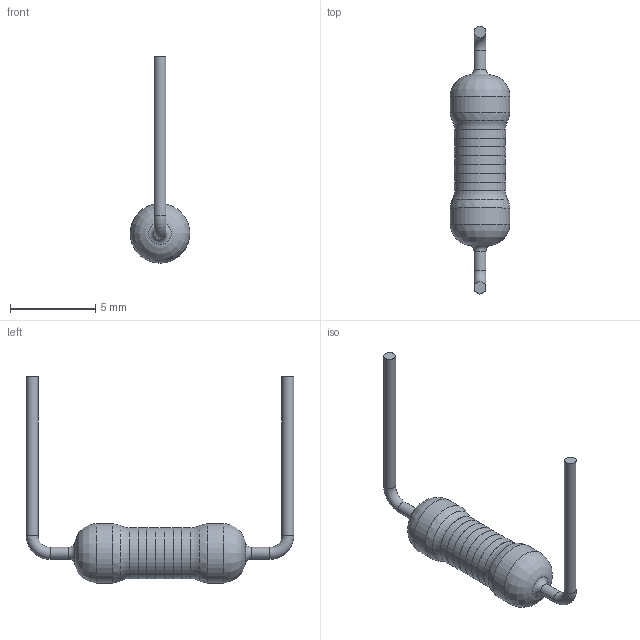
import cadquery as cq
import math

lead_diameter = 0.7
lead_pitch = 15.0
lead_top_z = 10.35
bend_radius = 1.05

body_length = 10.0
cap_diameter = 3.5
barrel_diameter = 2.98
band_diameter = 3.0
end_rounding = 1.25
shoulder_radius = 1.04
barrel_half_length = 1.8
segment_count = 7

lead_radius = lead_diameter / 2
cap_radius = cap_diameter / 2
barrel_radius = barrel_diameter / 2
collar_fillet = lead_radius
half_pitch = lead_pitch / 2

shoulder_angle = math.acos(1 - (cap_radius - barrel_radius) / (2 * shoulder_radius))
cap_inner_y = barrel_half_length + 2 * shoulder_radius * math.sin(shoulder_angle)

rounding_centre_r = cap_radius - end_rounding
rounding_centre_y = body_length / 2 - end_rounding

collar_centre_r = lead_radius + collar_fillet
collar_offset_r = collar_centre_r - rounding_centre_r
collar_end_y = rounding_centre_y + math.sqrt((end_rounding + collar_fillet) ** 2 - collar_offset_r ** 2)
contact_angle = math.atan2(collar_end_y - rounding_centre_y, collar_offset_r)


def rounding_point(angle):
    """Point on the rounded end, with the angle measured from the radial direction."""
    return (
        rounding_centre_r + end_rounding * math.cos(angle),
        rounding_centre_y + end_rounding * math.sin(angle),
    )


def collar_midpoint():
    """Point halfway along the collar fillet, between the lead and the rounded end."""
    lead_contact_angle = math.pi
    rounding_contact_angle = math.pi + contact_angle
    angle = (lead_contact_angle + rounding_contact_angle) / 2
    return (
        collar_centre_r + collar_fillet * math.cos(angle),
        collar_end_y + collar_fillet * math.sin(angle),
    )


def make_body_end():
    """Body end on +Y: S-shaped shoulder, cap, rounded end and collar."""
    half_turn_rise = shoulder_radius * (1 - math.cos(shoulder_angle / 2))
    half_turn_run = shoulder_radius * math.sin(shoulder_angle / 2)
    shoulder_middle = (
        (barrel_radius + cap_radius) / 2,
        (barrel_half_length + cap_inner_y) / 2,
    )
    return (
        cq.Workplane("XY")
        .moveTo(0, barrel_half_length)
        .lineTo(barrel_radius, barrel_half_length)
        .threePointArc(
            (barrel_radius + half_turn_rise, barrel_half_length + half_turn_run),
            shoulder_middle,
        )
        .threePointArc(
            (cap_radius - half_turn_rise, cap_inner_y - half_turn_run),
            (cap_radius, cap_inner_y),
        )
        .lineTo(cap_radius, rounding_centre_y)
        .threePointArc(rounding_point(contact_angle / 2), rounding_point(contact_angle))
        .threePointArc(collar_midpoint(), (lead_radius, collar_end_y))
        .lineTo(0, collar_end_y)
        .close()
        .revolve(360, (0, 0, 0), (0, 1, 0))
    )


def cylinder_along_y(diameter, start_y, length):
    """Cylinder on the body axis, running toward +Y from start_y."""
    return cq.Workplane("XZ", origin=(0, start_y, 0)).circle(diameter / 2).extrude(-length)


def make_barrel():
    """Barrel with a colour band around every other segment, starting at the first."""
    segment_length = 2 * barrel_half_length / segment_count
    barrel = cylinder_along_y(barrel_diameter, -barrel_half_length, 2 * barrel_half_length)
    for index in range(0, segment_count, 2):
        band_start_y = -barrel_half_length + index * segment_length
        barrel = barrel.union(cylinder_along_y(band_diameter, band_start_y, segment_length))
    return barrel


def make_lead():
    """Lead on +Y: straight out of the collar, quarter bend, then up to the top."""
    bend_start_y = half_pitch - bend_radius
    bend_middle = bend_radius * math.sqrt(0.5)
    path = (
        cq.Workplane("YZ")
        .moveTo(collar_end_y, 0)
        .lineTo(bend_start_y, 0)
        .threePointArc(
            (bend_start_y + bend_middle, bend_radius - bend_middle),
            (half_pitch, bend_radius),
        )
        .lineTo(half_pitch, lead_top_z)
    )
    return cq.Workplane("XZ", origin=(0, collar_end_y, 0)).circle(lead_radius).sweep(path)


result = make_barrel()
for end_part in (make_body_end(), make_lead()):
    result = result.union(end_part).union(end_part.mirror("XZ"))